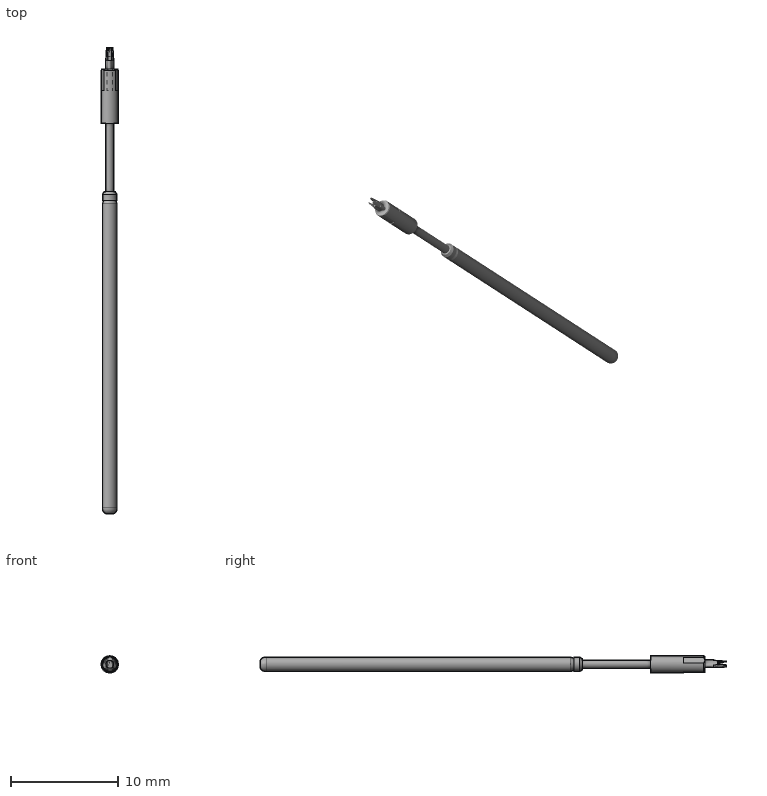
import cadquery as cq
import math

third_directions = (30, 150, 270)

total_length = 43.4
barrel_end_y = 30.0
collar_front_y = 36.35
collar_back_y = 41.4

barrel_radius = 0.68
end_face_radius = 0.36
dome_length = 0.6
dome_mid_angle = math.radians(50)
mouth_radius = 0.53
mouth_chamfer_length = 0.26
groove_radius = 0.6
groove_slope_length = 0.26
groove_floor_length = 0.04
ring_length = 0.54
ring_waist_radius = 0.67

plunger_radius = 0.395

collar_radius = 0.8
collar_chamfer_length = 0.11
collar_chamfer_height = 0.05
flat_length = 2.0
flat_half_angle = 20.0

stem_radius = 0.44
valley_radius = 0.26
crown_shoulder_radius = 0.39
crown_taper_length = 1.2
crown_tip_radius = 0.31
notch_depth = 0.8
notch_tip_width = 0.4
notch_root_width = 0.2


def make_barrel():
    """Round-ended tube with a crimped ring and a groove near its mouth, turned about Y."""
    mouth_edge_y = barrel_end_y - mouth_chamfer_length
    ring_end_y = mouth_edge_y - ring_length
    floor_end_y = ring_end_y - groove_floor_length
    groove_end_y = floor_end_y - groove_slope_length
    dome_mid_radius = end_face_radius + (barrel_radius - end_face_radius) * math.sin(dome_mid_angle)
    dome_mid_y = dome_length * (1 - math.cos(dome_mid_angle))
    profile = (
        cq.Workplane("XY")
        .lineTo(end_face_radius, 0)
        .threePointArc((dome_mid_radius, dome_mid_y), (barrel_radius, dome_length))
        .lineTo(barrel_radius, groove_end_y)
        .lineTo(groove_radius, floor_end_y)
        .lineTo(groove_radius, ring_end_y)
        .lineTo(barrel_radius, ring_end_y)
        .threePointArc((ring_waist_radius, (ring_end_y + mouth_edge_y) / 2), (barrel_radius, mouth_edge_y))
        .lineTo(mouth_radius, barrel_end_y)
        .lineTo(0, barrel_end_y)
        .close()
    )
    return profile.revolve(360, (0, 0, 0), (0, 1, 0))


def make_plunger_rod():
    """Thin round rod from the barrel into the collar."""
    rod_start_y = barrel_end_y - mouth_chamfer_length
    rod_length = collar_back_y - rod_start_y
    return cq.Workplane("XZ", origin=(0, collar_back_y, 0)).circle(plunger_radius).extrude(rod_length)


def lobed_outline(t):
    """Point on the smooth three-lobed outline for t from 0 to 1, with one lobe pointing along +Z."""
    mean_radius = (stem_radius + valley_radius) / 2
    lobe_height = (stem_radius - valley_radius) / 2
    turn = 2 * math.pi * t
    radius = mean_radius + lobe_height * math.cos(3 * turn)
    return (radius * math.sin(turn), radius * math.cos(turn))


def make_tapered_envelope():
    """Round body, stepped and tapered at its free end, that limits the stem behind the collar."""
    taper_start_y = total_length - crown_taper_length
    profile = (
        cq.Workplane("XY")
        .moveTo(0, collar_front_y)
        .lineTo(collar_radius, collar_front_y)
        .lineTo(collar_radius, taper_start_y)
        .lineTo(crown_shoulder_radius, taper_start_y)
        .lineTo(crown_tip_radius, total_length)
        .lineTo(0, total_length)
        .close()
    )
    return profile.revolve(360, (0, 0, 0), (0, 1, 0))


def turned_about_axis(shape, direction):
    """Turn a shape that points along +X so that it points in the given direction."""
    return shape.rotate((0, 0, 0), (0, 1, 0), -direction)


def make_crown_notch():
    """Slot from the axis out to the +X side, narrowing from the tip to its root."""
    root_y = total_length - notch_depth
    return (
        cq.Workplane("YZ")
        .moveTo(root_y, notch_root_width / 2)
        .lineTo(total_length, notch_tip_width / 2)
        .lineTo(total_length, -notch_tip_width / 2)
        .lineTo(root_y, -notch_root_width / 2)
        .close()
        .extrude(stem_radius)
    )


def make_crown_stem():
    """Three-lobed stem behind the collar, tapered and split into three points at its tip."""
    stem = (
        cq.Workplane("XZ", origin=(0, total_length, 0))
        .parametricCurve(lobed_outline)
        .extrude(total_length - collar_front_y)
        .intersect(make_tapered_envelope())
    )
    for direction in third_directions:
        stem = stem.cut(turned_about_axis(make_crown_notch(), direction))
    return stem


def make_collar():
    """Collar chamfered at its back edge, with three equally spaced flats."""
    chamfer_radius = collar_radius - collar_chamfer_height
    collar = (
        cq.Workplane("XY")
        .moveTo(0, collar_front_y)
        .lineTo(collar_radius, collar_front_y)
        .lineTo(collar_radius, collar_back_y - collar_chamfer_length)
        .lineTo(chamfer_radius, collar_back_y)
        .lineTo(0, collar_back_y)
        .close()
        .revolve(360, (0, 0, 0), (0, 1, 0))
    )
    flat_distance = collar_radius * math.cos(math.radians(flat_half_angle))
    for direction in third_directions:
        flat_cutter = (
            cq.Workplane("XY")
            .box(collar_radius, flat_length, 2 * collar_radius, centered=(False, False, True))
            .translate((flat_distance, collar_back_y - flat_length, 0))
        )
        collar = collar.cut(turned_about_axis(flat_cutter, direction))
    return collar


result = make_barrel().union(make_plunger_rod()).union(make_crown_stem()).union(make_collar())